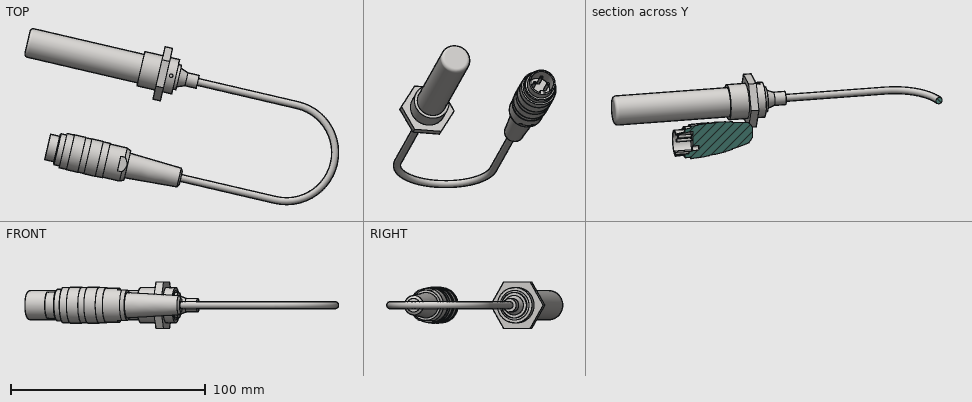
import cadquery as cq
import math


TILT = -13.1
BEND_RADIUS = 25.0
CABLE_DIA = 3.7
SENSOR_TIP_X = -142.3
PLUG_TIP_X = -120.1

SENSOR_DIA = 15.2
SENSOR_TIP_FILLET = 1.8
REAR_RING_DIA = 13.0
RELIEF_CONE_DIA = 10.0
RELIEF_DIA = 7.0
SLEEVE_FRONT = 59.8
SLEEVE_LENGTH = 18.4
REAR_RING_LENGTH = 1.6
RELIEF_CONE_LENGTH = 4.0
RELIEF_LENGTH = 6.0
SLEEVE_REAR = SLEEVE_FRONT + SLEEVE_LENGTH
REAR_RING_END = SLEEVE_REAR + REAR_RING_LENGTH
RELIEF_CONE_END = REAR_RING_END + RELIEF_CONE_LENGTH
SENSOR_LENGTH = RELIEF_CONE_END + RELIEF_LENGTH

SLEEVE_DIA = 18.2
SET_SCREW_DIA = 1.8
SET_SCREW_STATION = 75.8
NUT_ACROSS_FLATS = 24.0
NUT_FRONT = 69.3
NUT_THICKNESS = 4.0

PLUG_TIP_DIA = 13.5
PLUG_TIP_LENGTH = 4.8
SHOULDER_DIA = 16.5
SHOULDER_CHAMFER = 0.5
RING_START = 8.2
RING_DIA = 18.2
RING_END = 31.0
BAND_DIA = 18.5
BAND_LENGTH = 6.0
BAND_STARTS = (12.1, 21.3)
SHELL_DIA = 17.5
SHELL_REAR_DIA = 15.5
SHELL_CONE_START = 40.0
SHELL_END = 42.0
FLAT_START = 37.7
FLAT_HEIGHT = 7.9
BOOT_FRONT_DIA = 13.0
BOOT_REAR_DIA = 10.0
BOOT_END_DIA = 7.0
BOOT_CONE_END = 69.3
PLUG_LENGTH = 70.3

SOCKET_DIA = 12.0
SOCKET_DEPTH = 9.4
CONTACT_CIRCLE_DIA = 7.0
CONTACT_DIA = 1.48
CONTACT_LENGTH = 8.0
CONTACT_CHAMFER = 0.3
CONTACT_ANGLES = (0, 90, 180)
HOLE_DIA = 2.3
HOLE_ANGLE = 270
HOLE_DEPTH = 3.2
KEY_WIDTH = 2.0
KEY_HEIGHT = 1.3


def revolve_steps(steps):
    """Turn a list of (station, diameter) corners into a solid of revolution about X."""
    outline = [(station, dia / 2) for station, dia in steps]
    points = [(steps[0][0], 0)] + outline + [(steps[-1][0], 0)]
    return cq.Workplane("XY").polyline(points).close().revolve(360, (0, 0), (1, 0))


def cylinder(dia, start, length, y=0.0, z=0.0):
    """Make a cylinder along X from a start station."""
    return cq.Workplane("YZ", origin=(start, y, z)).circle(dia / 2).extrude(length)


def place(body, tip_x, branch_y):
    """Move a body from its own axis to its cable branch, then tilt it."""
    return body.translate((tip_x, branch_y, 0)).rotate((0, 0, 0), (0, 0, 1), TILT)


def contact_position(angle):
    """Return the Y and Z of a contact on the contact circle."""
    radius = CONTACT_CIRCLE_DIA / 2
    return radius * math.cos(math.radians(angle)), radius * math.sin(math.radians(angle))


def make_sensor():
    """Round-tipped tube with a rear ring and a stepped cable relief."""
    body = revolve_steps([
        (0, SENSOR_DIA),
        (SLEEVE_REAR, SENSOR_DIA),
        (SLEEVE_REAR, REAR_RING_DIA),
        (REAR_RING_END, REAR_RING_DIA),
        (REAR_RING_END, RELIEF_CONE_DIA),
        (RELIEF_CONE_END, RELIEF_DIA),
        (SENSOR_LENGTH, RELIEF_DIA),
    ])
    return body.faces("<X").edges().fillet(SENSOR_TIP_FILLET)


def make_sleeve():
    """Sleeve round the rear of the sensor, with a radial set screw hole in its top."""
    bore = cylinder(SENSOR_DIA, SLEEVE_FRONT, SLEEVE_LENGTH)
    screw_hole = (
        cq.Workplane("XY", origin=(SET_SCREW_STATION, 0, 0)).circle(SET_SCREW_DIA / 2).extrude(SLEEVE_DIA)
    )
    return cylinder(SLEEVE_DIA, SLEEVE_FRONT, SLEEVE_LENGTH).cut(bore).cut(screw_hole)


def make_nut():
    """Hex nut on the sleeve, with two of its flats facing up and down."""
    across_corners = NUT_ACROSS_FLATS / math.cos(math.radians(30))
    hexagon = cq.Workplane("YZ", origin=(NUT_FRONT, 0, 0)).polygon(6, across_corners).extrude(NUT_THICKNESS)
    return hexagon.cut(cylinder(SLEEVE_DIA, NUT_FRONT, NUT_THICKNESS))


def make_cable():
    """Two straight branches joined by a half-circle bend."""
    sensor_end = SENSOR_TIP_X + SENSOR_LENGTH
    plug_end = PLUG_TIP_X + PLUG_LENGTH
    path = (
        cq.Workplane("XY")
        .moveTo(sensor_end, BEND_RADIUS)
        .lineTo(0, BEND_RADIUS)
        .threePointArc((BEND_RADIUS, 0), (0, -BEND_RADIUS))
        .lineTo(plug_end, -BEND_RADIUS)
    )
    section = cq.Workplane("YZ", origin=(sensor_end, BEND_RADIUS, 0)).circle(CABLE_DIA / 2)
    return section.sweep(path).rotate((0, 0, 0), (0, 0, 1), TILT)


def make_plug_outside():
    """Stepped plug shell with its gripping bands, spanner flats and tapered boot."""
    body = revolve_steps([
        (0, PLUG_TIP_DIA),
        (PLUG_TIP_LENGTH, PLUG_TIP_DIA),
        (PLUG_TIP_LENGTH, SHOULDER_DIA - 2 * SHOULDER_CHAMFER),
        (PLUG_TIP_LENGTH + SHOULDER_CHAMFER, SHOULDER_DIA),
        (RING_START, SHOULDER_DIA),
        (RING_START, RING_DIA),
        (RING_END, RING_DIA),
        (RING_END, SHELL_DIA),
        (SHELL_CONE_START, SHELL_DIA),
        (SHELL_END, SHELL_REAR_DIA),
        (SHELL_END, BOOT_FRONT_DIA),
        (BOOT_CONE_END, BOOT_REAR_DIA),
        (PLUG_LENGTH, BOOT_END_DIA),
    ])
    for start in BAND_STARTS:
        body = body.union(cylinder(BAND_DIA, start, BAND_LENGTH))
    flat_length = SHELL_END - FLAT_START
    for side in (1, -1):
        flat = cq.Workplane("XY").box(flat_length, SHELL_DIA, SHELL_DIA).translate(
            (FLAT_START + flat_length / 2, 0, side * (FLAT_HEIGHT + SHELL_DIA / 2))
        )
        body = body.cut(flat)
    return body


def make_plug():
    """Plug with a socket that holds contact pins, one contact hole and a key rib at the bottom.

    The key reaches from inside the socket to the middle of the wall, so that it joins the plug fully.
    """
    body = make_plug_outside().cut(cylinder(SOCKET_DIA, 0, SOCKET_DEPTH))
    hole_y, hole_z = contact_position(HOLE_ANGLE)
    body = body.cut(cylinder(HOLE_DIA, SOCKET_DEPTH, HOLE_DEPTH, hole_y, hole_z))
    for angle in CONTACT_ANGLES:
        pin_y, pin_z = contact_position(angle)
        pin = cylinder(CONTACT_DIA, SOCKET_DEPTH - CONTACT_LENGTH, CONTACT_LENGTH, pin_y, pin_z)
        body = body.union(pin.faces("<X").chamfer(CONTACT_CHAMFER))
    key_top = KEY_HEIGHT - SOCKET_DIA / 2
    key_bottom = -(SOCKET_DIA + PLUG_TIP_DIA) / 4
    key = cq.Workplane("XY").box(
        SOCKET_DEPTH, KEY_WIDTH, key_top - key_bottom, centered=(False, True, False)
    ).translate((0, 0, key_bottom))
    return body.union(key)


sensor = place(make_sensor(), SENSOR_TIP_X, BEND_RADIUS)
sleeve = place(make_sleeve(), SENSOR_TIP_X, BEND_RADIUS)
nut = place(make_nut(), SENSOR_TIP_X, BEND_RADIUS)
cable = make_cable()
plug = place(make_plug(), PLUG_TIP_X, -BEND_RADIUS)

result = cq.Compound.makeCompound([sensor.val(), sleeve.val(), nut.val(), cable.val(), plug.val()])